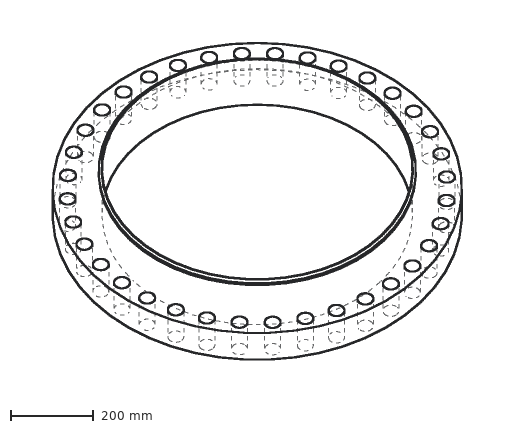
import cadquery as cq

FLANGE_DIAMETER = 990.0
FLANGE_THICKNESS = 92.0
BORE_DIAMETER = 751.0

TOTAL_HEIGHT = 156.0
HUB_BASE_DIAMETER = 812.0
HUB_NECK_DIAMETER = 767.5
HUB_FILLET = 6.0
NECK_HEIGHT = 6.0

BEVEL_HEIGHT = 6.0
WELD_FACE_WIDTH = 1.5

BOLT_COUNT = 36
BOLT_CIRCLE_DIAMETER = 920.0
BOLT_HOLE_DIAMETER = 39.0

BORE_RADIUS = BORE_DIAMETER / 2
FLANGE_RADIUS = FLANGE_DIAMETER / 2
HUB_BASE_RADIUS = HUB_BASE_DIAMETER / 2
HUB_NECK_RADIUS = HUB_NECK_DIAMETER / 2
BEVEL_START_Z = TOTAL_HEIGHT - BEVEL_HEIGHT
TAPER_END_Z = BEVEL_START_Z - NECK_HEIGHT


def flange_plate():
    """Plain round plate with its underside at Z = 0."""
    return cq.Workplane("XY").circle(FLANGE_RADIUS).extrude(FLANGE_THICKNESS)


def weld_hub():
    """Solid hub: taper, short straight neck, then the weld bevel."""
    half_section = [
        (0, 0),
        (HUB_BASE_RADIUS, 0),
        (HUB_BASE_RADIUS, FLANGE_THICKNESS),
        (HUB_NECK_RADIUS, TAPER_END_Z),
        (HUB_NECK_RADIUS, BEVEL_START_Z),
        (BORE_RADIUS + WELD_FACE_WIDTH, TOTAL_HEIGHT),
        (0, TOTAL_HEIGHT),
    ]
    return cq.Workplane("XZ").polyline(half_section).close().revolve(360, (0, 0), (0, 1))


def fillet_hub_root(body):
    """Round the inside corner where the taper meets the flange face."""
    second_widest = cq.selectors.RadiusNthSelector(-2)
    return body.edges(second_widest).fillet(HUB_FILLET)


def bore():
    """Straight through bore."""
    return cq.Workplane("XY").circle(BORE_RADIUS).extrude(TOTAL_HEIGHT)


def bolt_holes():
    """Ring of holes through the flange plate."""
    return (
        cq.Workplane("XY")
        .polarArray(BOLT_CIRCLE_DIAMETER / 2, 0, 360, BOLT_COUNT)
        .circle(BOLT_HOLE_DIAMETER / 2)
        .extrude(FLANGE_THICKNESS)
    )


blank = fillet_hub_root(flange_plate().union(weld_hub()))
result = blank.cut(bore()).cut(bolt_holes())